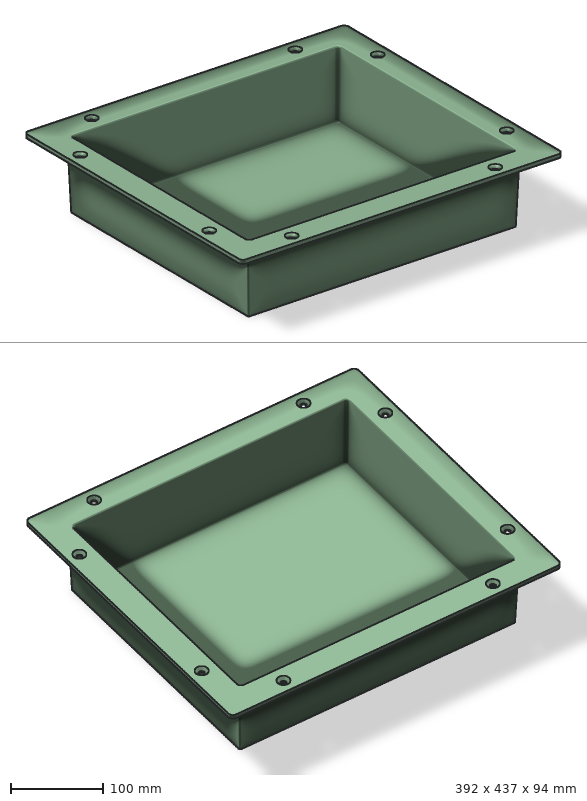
import cadquery as cq
import math

flange_x = 392.0
flange_y = 437.0
flange_thickness = 5.2
flange_corner_radius = 6.0

total_height = 94.0
draft_angle = 2.0
pan_margin = 32.8
wall = 3.5
outer_edge_radius = 2.0
joint_radius = 1.7
inner_corner_radius = 5.0
inner_edge_radius = 2.0

hole_edge_distance = 16.0
hole_corner_distance = 80.0
hole_diameter = 7.0
countersink_diameter = 15.5
countersink_angle = 100.0


def tapered_block(size_x, size_y, top_z, bottom_z, corner_radius):
    """Block that narrows downwards by the draft angle, with rounded upright corners."""
    return (
        cq.Workplane("XY", origin=(0, 0, top_z))
        .rect(size_x, size_y)
        .extrude(bottom_z - top_z, taper=draft_angle)
        .edges("not(#Z)")
        .fillet(corner_radius)
    )


def make_flange():
    return (
        cq.Workplane("XY")
        .rect(flange_x, flange_y)
        .extrude(-flange_thickness)
        .edges("|Z")
        .fillet(flange_corner_radius)
    )


pan_x = flange_x - 2 * pan_margin
pan_y = flange_y - 2 * pan_margin

pan = tapered_block(pan_x, pan_y, -flange_thickness, -total_height, outer_edge_radius)
pan = pan.faces("<Z").edges().fillet(outer_edge_radius)

flange_draft = flange_thickness * math.tan(math.radians(draft_angle))
cavity_inset = 2 * (wall - flange_draft)
cavity = tapered_block(
    pan_x - cavity_inset, pan_y - cavity_inset, 0, wall - total_height, inner_corner_radius
)
cavity = cavity.faces("<Z").edges().fillet(inner_edge_radius)

body = make_flange().union(pan)

joint_box = cq.selectors.BoxSelector(
    (-pan_x / 2 - joint_radius, -pan_y / 2 - joint_radius, -flange_thickness - joint_radius / 10),
    (pan_x / 2 + joint_radius, pan_y / 2 + joint_radius, -flange_thickness + joint_radius / 10),
)
result = body.edges(joint_box).fillet(joint_radius).cut(cavity)

rim_box = cq.selectors.BoxSelector(
    (-pan_x / 2, -pan_y / 2, -inner_edge_radius / 10),
    (pan_x / 2, pan_y / 2, inner_edge_radius / 10),
)
result = result.edges(rim_box).fillet(inner_edge_radius)

side_hole_x = flange_x / 2 - hole_edge_distance
side_hole_y = flange_y / 2 - hole_corner_distance
end_hole_x = flange_x / 2 - hole_corner_distance
end_hole_y = flange_y / 2 - hole_edge_distance
hole_points = [
    (sign_x * x, sign_y * y)
    for x, y in ((side_hole_x, side_hole_y), (end_hole_x, end_hole_y))
    for sign_x in (-1, 1)
    for sign_y in (-1, 1)
]
result = (
    result.faces(">Z")
    .workplane(origin=(0, 0, 0))
    .pushPoints(hole_points)
    .cskHole(hole_diameter, countersink_diameter, countersink_angle, depth=flange_thickness)
)